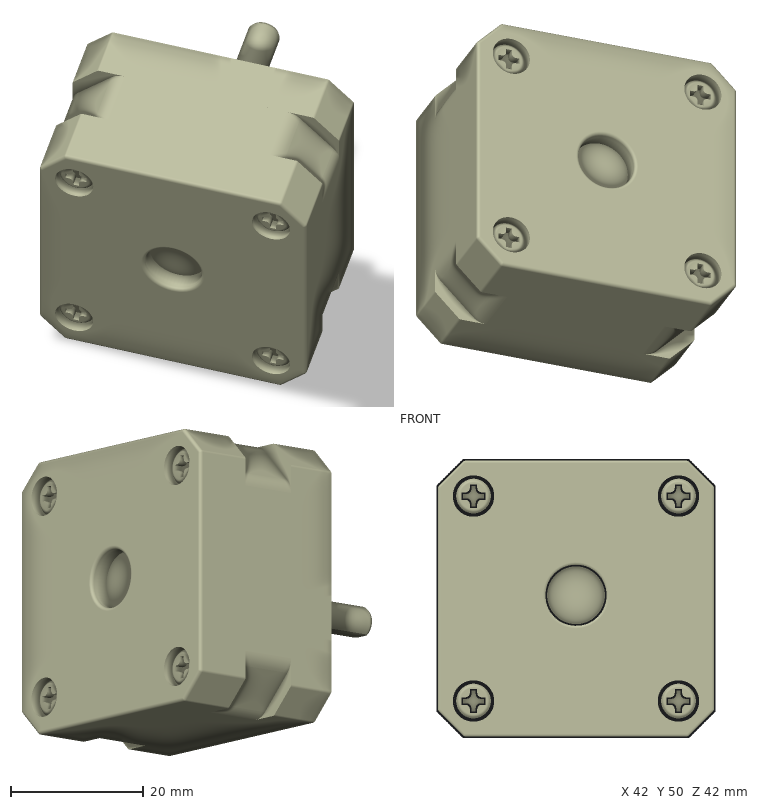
import cadquery as cq


body_width = 42.0
rear_cap_length = 9.0
stator_length = 9.0
front_cap_length = 8.0
cap_corner_cut = 4.0
cap_corner_radius = 0.5
stator_corner_cut = 7.0
stator_corner_radius = 3.0
edge_radius = 0.5

boss_radius = 11.0
boss_height = 2.0
shaft_radius = 2.5
shaft_length = 22.0
shaft_flat_offset = 2.0
tip_chamfer_length = 0.5
tip_chamfer_inset = 0.3

recess_radius = 4.5
recess_depth = 3.0
recess_rise = 0.5

screw_spacing = 31.0
counterbore_radius = 3.0
head_radius = 2.75
head_height = 2.0
head_chamfer = 0.5
head_edge_radius = 0.5
head_sink = 1.0
cross_length = 3.35
cross_arm_width = 0.9
cross_corner_radius = 0.7
cross_depth = 1.5

stator_start = rear_cap_length
front_cap_start = stator_start + stator_length
boss_start = front_cap_start + front_cap_length
shaft_start = boss_start + boss_height

half_spacing = screw_spacing / 2
screw_positions = [
    (x, z) for x in (-half_spacing, half_spacing) for z in (-half_spacing, half_spacing)
]


def plane_at(y, x=0.0, z=0.0):
    """Sketch plane square to the motor axis, with its normal along +Y."""
    return cq.Workplane(cq.Plane(origin=(x, y, z), xDir=(1, 0, 0), normal=(0, 1, 0)))


def octagonal_block(start, length, corner_cut, corner_radius):
    """Square block with cut corners, whose eight long edges are rounded."""
    return (
        plane_at(start)
        .rect(body_width, body_width)
        .extrude(length)
        .edges("|Y")
        .chamfer(corner_cut)
        .edges("|Y")
        .fillet(corner_radius)
    )


def make_rear_cap():
    """Rear cap with the centre recess and a counterbore for each screw head."""
    cap = octagonal_block(0, rear_cap_length, cap_corner_cut, cap_corner_radius)
    recess = plane_at(0, z=recess_rise).circle(recess_radius).extrude(recess_depth)
    cap = cap.cut(recess).faces("<Y").edges().fillet(edge_radius)
    counterbore_depth = head_sink + head_height
    for x, z in screw_positions:
        cap = cap.cut(plane_at(0, x, z).circle(counterbore_radius).extrude(counterbore_depth))
    return cap


def make_stator():
    """Middle block, with larger corner cuts than the caps."""
    return octagonal_block(stator_start, stator_length, stator_corner_cut, stator_corner_radius)


def make_shaft():
    """D-shaped shaft with its flat facing -Z."""
    shaft = plane_at(shaft_start).circle(shaft_radius).extrude(shaft_length)
    shaft = shaft.faces(">Y").edges().chamfer(tip_chamfer_length, tip_chamfer_inset)
    flat_depth = shaft_radius - shaft_flat_offset
    flat_cut = cq.Workplane("XY").box(
        2 * shaft_radius, shaft_length, flat_depth, centered=(True, False, False)
    )
    return shaft.cut(flat_cut.translate((0, shaft_start, -shaft_radius)))


def make_front_cap():
    """Front cap in one piece with its pilot boss and shaft."""
    cap = octagonal_block(front_cap_start, front_cap_length, cap_corner_cut, cap_corner_radius)
    boss = plane_at(boss_start).circle(boss_radius).extrude(boss_height)
    boss = boss.faces(">Y").edges().fillet(edge_radius)
    return cap.union(boss).union(make_shaft())


def make_cross_drive(x, z):
    """Solid cross with rounded inner corners, removed from a screw head as its drive recess."""
    sketch_plane = plane_at(head_sink, x, z)
    wide_arm = sketch_plane.rect(cross_length, cross_arm_width).extrude(cross_depth)
    tall_arm = sketch_plane.rect(cross_arm_width, cross_length).extrude(cross_depth)
    inner_corners = cq.selectors.BoxSelector(
        (x - cross_arm_width, head_sink, z - cross_arm_width),
        (x + cross_arm_width, head_sink + cross_depth, z + cross_arm_width),
    )
    return wide_arm.union(tall_arm).edges("|Y").edges(inner_corners).fillet(cross_corner_radius)


def make_screw_head(x, z):
    """Round head with a chamfered, softened rim and a cross-shaped drive recess."""
    head = plane_at(head_sink, x, z).circle(head_radius).extrude(head_height)
    head = head.faces("<Y").edges().chamfer(head_chamfer)
    head = head.faces("<Y").edges().fillet(head_edge_radius)
    return head.cut(make_cross_drive(x, z))


rear_cap = make_rear_cap()
stator = make_stator()
front_cap = make_front_cap()
screw_heads = [make_screw_head(x, z) for x, z in screw_positions]

result = cq.Compound.makeCompound(
    [rear_cap.val(), stator.val(), front_cap.val(), *[head.val() for head in screw_heads]]
)